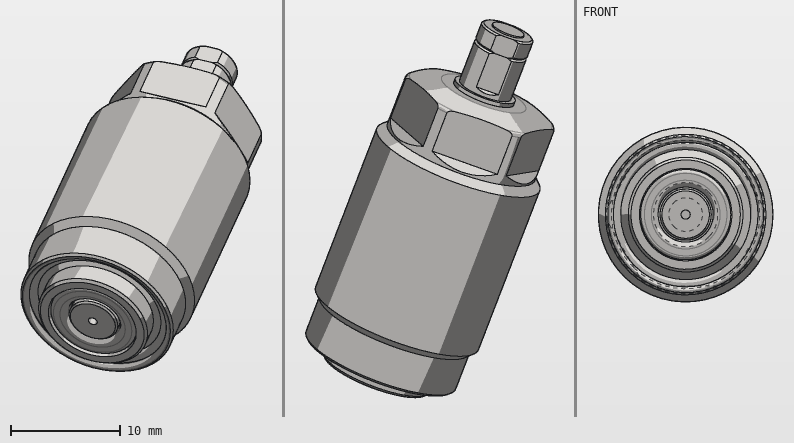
import cadquery as cq
import math


sleeve_diameter = 16.0
sleeve_radius = sleeve_diameter / 2
sleeve_front = 1.2
lip_radius = 7.35
lip_chamfer = 0.2
lip_base = 5.0
sleeve_rear = 21.8
cavity_radius = 6.6
mouth_round = 0.42

tube_radius = 5.25
tube_chamfer = 0.25
cone_start = 1.95
cone_end = cone_start + cavity_radius - tube_radius

hex_body_radius = 7.25
hex_flat_distance = 6.5
hex_flat_start = 23.5
hex_rear = 28.5
hex_rear_radius = 4.13
hex_rear_angle = 15
hex_corner_round = 0.4

collar_radius = 2.95
collar_rear = 28.88
stub_radius = 2.52
stub_flat_distance = 2.28
stub_flat_start = 29.47
stub_chamfer = 0.18
joint_y = 33.05
cap_rear = 34.85
boss_radius = 1.55
overall_length = 35

insert_front = 0.1
insert_radius = 4.13
insert_gap = 0.1
gap_depth = 1.75
insert_depth = 4.9
socket_radius = 2.52
socket_rim_round = 0.63
outer_rim_round = 0.35
pin_radius = 2.35
pin_chamfer = 0.18
pin_front = 0.18
pin_hole_radius = 0.42
pin_hole_depth = 1.05

seal_radius = 6.37
seal_section_radius = 0.42
seal_y = 2.1
seal_groove_radius = seal_radius + seal_section_radius


def turned(points):
    """Solid of revolution about Y from (radius, y) points."""
    return cq.Workplane("XY").polyline(points).close().revolve(360, (0, 0, 0), (0, 1, 0))


def cylinder(radius, y_start, y_end):
    """Cylinder on the Y axis."""
    return turned([(0, y_start), (radius, y_start), (radius, y_end), (0, y_end)])


def cut_flats(body, count, distance, start, end, blank_radius):
    """Mill evenly spaced flats, each with a 45 degree run-out at its front end."""
    height = blank_radius
    cutter = (
        cq.Workplane("YZ")
        .polyline(
            [
                (start, distance),
                (end, distance),
                (end, distance + height),
                (start - height, distance + height),
            ]
        )
        .close()
        .extrude(blank_radius, both=True)
    )
    for index in range(count):
        body = body.cut(cutter.rotate((0, 0, 0), (0, 1, 0), index * 360 / count))
    return body


def make_front():
    """Front tube and sleeve, with the cavity and the seal groove between them."""
    sleeve_shoulder = sleeve_rear + sleeve_radius - hex_body_radius
    return (
        cq.Workplane("XY")
        .moveTo(0, 0)
        .lineTo(tube_radius - tube_chamfer, 0)
        .lineTo(tube_radius, tube_chamfer)
        .lineTo(tube_radius, cone_start)
        .lineTo(cavity_radius, cone_end)
        .lineTo(cavity_radius, seal_y + seal_section_radius)
        .lineTo(seal_groove_radius, seal_y + seal_section_radius)
        .lineTo(seal_groove_radius, seal_y - seal_section_radius)
        .lineTo(cavity_radius, seal_y - seal_section_radius)
        .lineTo(cavity_radius, sleeve_front + mouth_round)
        .radiusArc((cavity_radius + mouth_round, sleeve_front), -mouth_round)
        .lineTo(lip_radius - lip_chamfer, sleeve_front)
        .lineTo(lip_radius, sleeve_front + lip_chamfer)
        .lineTo(lip_radius, lip_base)
        .lineTo(sleeve_radius, lip_base + sleeve_radius - lip_radius)
        .lineTo(sleeve_radius, sleeve_rear)
        .lineTo(hex_body_radius, sleeve_shoulder)
        .lineTo(0, sleeve_shoulder)
        .close()
        .revolve(360, (0, 0, 0), (0, 1, 0))
    )


def make_hexagon():
    """Round blank with a conical rear end, milled to a hexagon."""
    cone_drop = (hex_body_radius - hex_rear_radius) * math.tan(math.radians(hex_rear_angle))
    cone_y = hex_rear - cone_drop
    blank = turned(
        [
            (0, sleeve_rear),
            (hex_body_radius, sleeve_rear),
            (hex_body_radius, cone_y),
            (hex_rear_radius, hex_rear),
            (0, hex_rear),
        ]
    )
    corner = cq.selectors.NearestToPointSelector((0, cone_y, 0))
    blank = blank.edges("%CIRCLE").edges(corner).fillet(hex_corner_round)
    return cut_flats(blank, 6, hex_flat_distance, hex_flat_start, hex_rear, hex_body_radius)


def make_stub():
    """Rear stub with its collar and two flats."""
    stub = cylinder(stub_radius, hex_rear, joint_y).faces(">Y").chamfer(stub_chamfer)
    stub = cut_flats(stub, 2, stub_flat_distance, stub_flat_start, joint_y, stub_radius)
    return stub.union(cylinder(collar_radius, hex_rear, collar_rear))


def make_housing():
    """Sleeve, front tube, hexagon and stub in one piece."""
    housing = make_front().union(make_hexagon()).union(make_stub())
    housing = housing.cut(cylinder(insert_radius + insert_gap, 0, gap_depth))
    return housing.cut(cylinder(insert_radius, 0, insert_depth))


def make_insert():
    """Contact ring with rounded rims around a central pin, joined behind the gaps."""
    ring = cylinder(insert_radius, insert_front, insert_depth)
    ring = ring.faces("<Y").edges().fillet(outer_rim_round)
    ring = ring.cut(cylinder(socket_radius, 0, gap_depth))
    inner_rim = cq.selectors.RadiusNthSelector(0)
    ring = ring.faces("<Y").edges(inner_rim).fillet(socket_rim_round)
    pin = cylinder(pin_radius, pin_front, insert_depth).faces("<Y").chamfer(pin_chamfer)
    return ring.union(pin).cut(cylinder(pin_hole_radius, 0, pin_front + pin_hole_depth))


def make_seal():
    """Round-section seal ring in the groove of the sleeve."""
    return (
        cq.Workplane("XY")
        .center(seal_radius, seal_y)
        .circle(seal_section_radius)
        .revolve(360, (-seal_radius, 0, 0), (-seal_radius, 1, 0))
    )


def make_cap():
    """End cap with two flats and a low rear boss."""
    cap = cylinder(stub_radius, joint_y, cap_rear).faces("<Y or >Y").chamfer(stub_chamfer)
    cap = cut_flats(cap, 2, stub_flat_distance, joint_y - stub_radius, cap_rear, stub_radius)
    return cap.union(cylinder(boss_radius, cap_rear, overall_length))


housing = make_housing()
insert = make_insert()
seal = make_seal()
cap = make_cap()

result = cq.Compound.makeCompound([housing.val(), insert.val(), seal.val(), cap.val()])